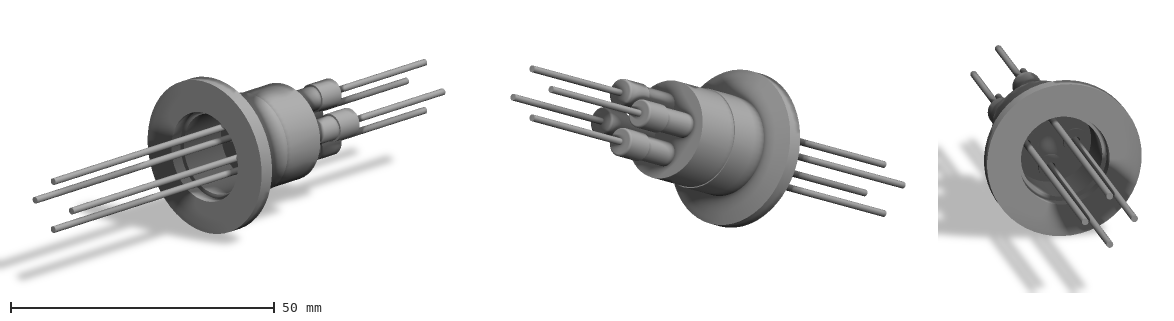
import cadquery as cq
import math


FLANGE_DIAMETER = 29.97
FLANGE_RIM_END = 2.85
FLANGE_TAPER_END = 4.3
SLEEVE_DIAMETER = 19.3
SLEEVE_END = 12.7
BODY_DIAMETER = 18.9
BODY_END = 21.8

MOUTH_DIAMETER = 17.5
MOUTH_DEPTH = 2.5
BORE_DIAMETER = 15.75
BORE_DEPTH = SLEEVE_END

CONDUCTOR_COUNT = 4
CONDUCTOR_CIRCLE_RADIUS = 4.78
INSULATOR_DIAMETER = 4.76
INSULATOR_LIP = 0.5
INSULATOR_START = BORE_DEPTH - INSULATOR_LIP
CAP_DIAMETER = 5.5
CAP_START = 29.4
CAP_END = 34.8
CAP_EDGE_RADIUS = 0.4

PIN_DIAMETER = 1.3
PIN_LENGTH = 101.6
PIN_START = -41.4
PIN_CLEARANCE_DIAMETER = 1.7


def cylinder(diameter, start, end, x, z):
    """Cylinder along Y from start to end, centred at x, z."""
    base = cq.Vector(x, start, z)
    return cq.Workplane(cq.Solid.makeCylinder(diameter / 2, end - start, base, cq.Vector(0, 1, 0)))


def make_body():
    """Tapered flange, sleeve and body, turned about Y with a stepped bore."""
    profile = [
        (0, BORE_DEPTH),
        (BORE_DIAMETER / 2, BORE_DEPTH),
        (BORE_DIAMETER / 2, MOUTH_DEPTH),
        (MOUTH_DIAMETER / 2, MOUTH_DEPTH),
        (MOUTH_DIAMETER / 2, 0),
        (FLANGE_DIAMETER / 2, 0),
        (FLANGE_DIAMETER / 2, FLANGE_RIM_END),
        (SLEEVE_DIAMETER / 2, FLANGE_TAPER_END),
        (SLEEVE_DIAMETER / 2, SLEEVE_END),
        (BODY_DIAMETER / 2, SLEEVE_END),
        (BODY_DIAMETER / 2, BODY_END),
        (0, BODY_END),
    ]
    return cq.Workplane("XY").polyline(profile).close().revolve(360, (0, 0, 0), (0, 1, 0))


def conductor_places():
    """X, Z centres of the conductors, equally spaced on their circle."""
    step = 2 * math.pi / CONDUCTOR_COUNT
    return [
        (CONDUCTOR_CIRCLE_RADIUS * math.cos(i * step), CONDUCTOR_CIRCLE_RADIUS * math.sin(i * step))
        for i in range(CONDUCTOR_COUNT)
    ]


def add_conductor(part, x, z):
    """Insulator through the body, rounded cap, and a pin held by the cap, loose in the insulator."""
    insulator = cylinder(INSULATOR_DIAMETER, INSULATOR_START, CAP_START, x, z)
    cap = cylinder(CAP_DIAMETER, CAP_START, CAP_END, x, z).faces(">Y").edges().fillet(CAP_EDGE_RADIUS)
    clearance = cylinder(PIN_CLEARANCE_DIAMETER, INSULATOR_START, CAP_START, x, z)
    pin = cylinder(PIN_DIAMETER, PIN_START, PIN_START + PIN_LENGTH, x, z)
    return part.union(insulator).union(cap).cut(clearance).union(pin)


result = make_body()
for place_x, place_z in conductor_places():
    result = add_conductor(result, place_x, place_z)